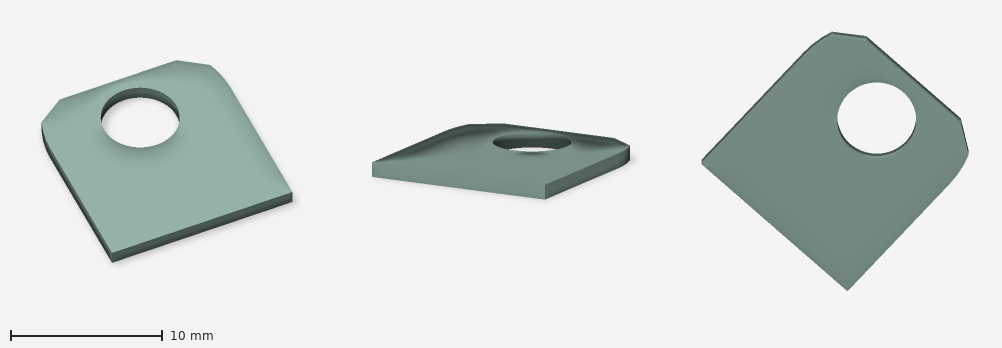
import cadquery as cq
import math

thickness = 1.0
width = 13.0
hole_diameter = 5.2
hole_to_square_end = 10.0
hole_to_nose = 3.6
nose_flat_length = 8.4
corner_cut_depth = 1.3

half_width = width / 2
nose_x = -hole_to_nose
nose_half_flat = nose_flat_length / 2
corner_radius = half_width
arc_end_x = nose_x + corner_cut_depth
arc_end_y = math.sqrt(corner_radius**2 - arc_end_x**2)

arc_sweep = math.atan2(-arc_end_x, arc_end_y)
arc_mid_x = -corner_radius * math.sin(arc_sweep / 2)
arc_mid_y = corner_radius * math.cos(arc_sweep / 2)


def make_plate():
    """Flat tab with a square end and a rounded, corner-cut nose."""
    return (
        cq.Workplane("XY")
        .moveTo(hole_to_square_end, -half_width)
        .lineTo(hole_to_square_end, half_width)
        .lineTo(0, half_width)
        .threePointArc((arc_mid_x, arc_mid_y), (arc_end_x, arc_end_y))
        .lineTo(nose_x, nose_half_flat)
        .lineTo(nose_x, -nose_half_flat)
        .lineTo(arc_end_x, -arc_end_y)
        .threePointArc((arc_mid_x, -arc_mid_y), (0, -half_width))
        .close()
        .extrude(thickness)
    )


def make_hole():
    """Cylinder that cuts the through hole."""
    return cq.Workplane("XY").circle(hole_diameter / 2).extrude(thickness)


result = make_plate().cut(make_hole())